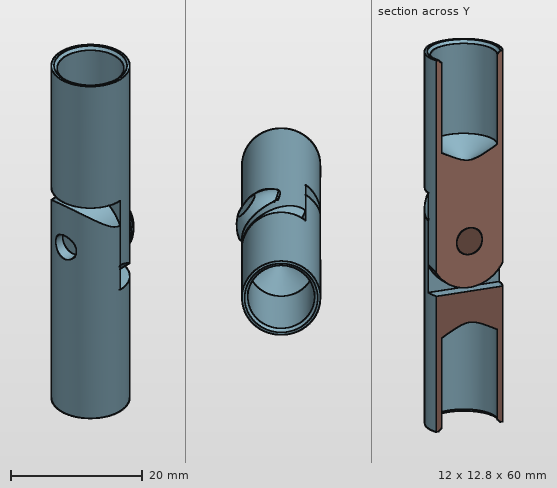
import cadquery as cq
import math

length = 60.0
rod_radius = 6.0
pivot_z = length / 2

tongue_reach = 7.5
tongue_side_height = 3.6
shoulder_gap = 0.55
shoulder_reach = tongue_reach + shoulder_gap

bore_radius = 5.1
bore_depth = 15.0
drill_point_angle = 118.0
bore_chamfer = 0.5
drill_point_height = bore_radius / math.tan(math.radians(drill_point_angle / 2))

shank_radius = 2.1
head_radius = 4.8
head_seat_y = 4.0
shank_end_y = -head_seat_y
head_top_y = 6.8
dome_center_y = 1.7
dome_radius = 5.5


def y_cylinder(radius, start_y, end_y):
    """Cylinder on the pivot axis, from start_y to end_y."""
    workplane = cq.Workplane("XZ", origin=(0, start_y, pivot_z))
    return workplane.circle(radius).extrude(start_y - end_y)


def end_bore():
    """Chamfered blind bore with a conical bottom, opening at the top end."""
    bottom_z = length - bore_depth
    mouth_radius = bore_radius + bore_chamfer
    return (
        cq.Workplane("XZ")
        .moveTo(0, bottom_z - drill_point_height)
        .lineTo(bore_radius, bottom_z)
        .lineTo(bore_radius, length - bore_chamfer)
        .lineTo(mouth_radius, length)
        .lineTo(0, length)
        .close()
        .revolve(360, (0, 0, 0), (0, 1, 0))
    )


def rod_blank():
    """Upper rod: bored round body with a round-tipped tongue hanging on its +Y half."""
    shoulder_z = pivot_z + shoulder_reach
    side_z = pivot_z - tongue_side_height
    body = cq.Workplane("XY", origin=(0, 0, shoulder_z)).circle(rod_radius).extrude(length - shoulder_z)
    tongue_outline = (
        cq.Workplane("XZ")
        .moveTo(-rod_radius, shoulder_z)
        .lineTo(-rod_radius, side_z)
        .threePointArc((0, pivot_z - tongue_reach), (rod_radius, side_z))
        .lineTo(rod_radius, shoulder_z)
        .close()
        .extrude(-rod_radius)
    )
    tongue = cq.Workplane("XY").circle(rod_radius).extrude(length).intersect(tongue_outline)
    return body.union(tongue).cut(end_bore())


def make_upper_rod():
    """Rod whose tongue carries the shank hole and the counterbore for the rivet head."""
    shank_hole = y_cylinder(shank_radius, 0, head_seat_y)
    counterbore = y_cylinder(head_radius, head_seat_y, rod_radius)
    return rod_blank().cut(shank_hole).cut(counterbore)


def make_lower_rod():
    """The same rod turned half a revolution about the X axis, with a plain shank hole."""
    turned = rod_blank().rotate((0, 0, pivot_z), (1, 0, pivot_z), 180)
    return turned.cut(y_cylinder(shank_radius, -rod_radius, 0))


def make_rivet():
    """Round shank with a domed head: a disc rounded by a sphere that leaves a flat on top."""
    shank = y_cylinder(shank_radius, shank_end_y, head_seat_y)
    dome_sphere = cq.Workplane("XY", origin=(0, dome_center_y, pivot_z)).sphere(dome_radius)
    head = y_cylinder(head_radius, head_seat_y, head_top_y).intersect(dome_sphere)
    return shank.union(head)


upper_rod = make_upper_rod()
lower_rod = make_lower_rod()
rivet = make_rivet()

result = cq.Compound.makeCompound([upper_rod.val(), lower_rod.val(), rivet.val()])